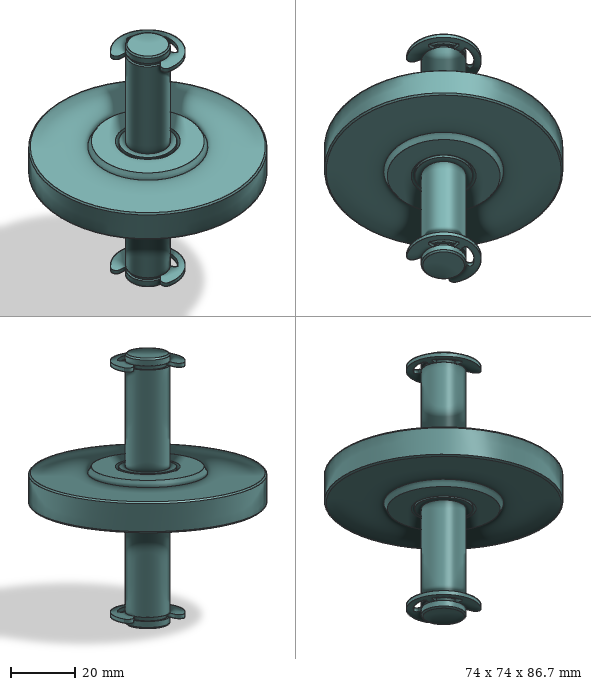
import cadquery as cq
import math

shaft_length = 86.7
shaft_radius = 14.0 / 2
shaft_chamfer = 0.5
groove_radius = 12.2 / 2
groove_end_distance = 2.4
clip_thickness = 1.3
groove_centre_z = shaft_length / 2 - groove_end_distance - clip_thickness / 2

wheel_radius = 74.0 / 2
rim_width = 10.0
rim_chamfer = 0.5
hub_width = 14.0
hub_base_radius = 18.6
hub_face_radius = 17.5
bore_chamfer = 1.0

bushing_radius = 18.0 / 2

clip_radius = 11.6
jaw_angle = math.radians(27)
tip_radius = 1.7
tip_angle = math.radians(31)
tip_inner_angle = math.radians(24)
slot_outer_radius = 9.45
slot_floor_y = 2.5
tongue_half_width = 1.1
slot_top_fillet = 0.5
slot_side_fillet = 1.0


def point_below(radius, angle):
    """Point at a radius from the shaft axis, at an angle below the +X direction."""
    return radius * math.cos(angle), -radius * math.sin(angle)


def mirrored(point):
    return -point[0], point[1]


def plane_below(height, centre_z=0):
    """XY workplane at the bottom of a layer of this height centred on centre_z."""
    return cq.Workplane("XY", origin=(0, 0, centre_z - height / 2))


def make_shaft():
    shaft = plane_below(shaft_length).circle(shaft_radius).extrude(shaft_length)
    shaft = shaft.faces("<Z or >Z").chamfer(shaft_chamfer)
    for side in (-1, 1):
        groove = (
            plane_below(clip_thickness, side * groove_centre_z)
            .circle(shaft_radius)
            .circle(groove_radius)
            .extrude(clip_thickness)
        )
        shaft = shaft.cut(groove)
    return shaft


def make_wheel():
    """Revolve the half section, whose bore has a chamfer at both ends."""
    half_hub = hub_width / 2
    half_rim = rim_width / 2
    upper_profile = [
        (bushing_radius, half_hub - bore_chamfer),
        (bushing_radius + bore_chamfer, half_hub),
        (hub_face_radius, half_hub),
        (hub_base_radius, half_rim),
        (wheel_radius - rim_chamfer, half_rim),
        (wheel_radius, half_rim - rim_chamfer),
    ]
    lower_profile = [(radius, -z) for radius, z in reversed(upper_profile)]
    return (
        cq.Workplane("XZ")
        .polyline(upper_profile + lower_profile)
        .close()
        .revolve(360, (0, 0), (0, 1))
    )


def make_bushing():
    return (
        plane_below(hub_width)
        .circle(bushing_radius)
        .circle(shaft_radius)
        .extrude(hub_width)
    )


def make_slot():
    """Right-hand relief slot, open to the groove and rounded at its outer corners."""
    slot = plane_below(clip_thickness).circle(slot_outer_radius).extrude(clip_thickness)
    quadrant = (
        plane_below(clip_thickness)
        .moveTo(tongue_half_width, slot_floor_y)
        .rect(slot_outer_radius, slot_outer_radius, centered=False)
        .extrude(clip_thickness)
    )
    slot = slot.intersect(quadrant)
    slot = slot.edges("|Z and >Y").fillet(slot_top_fillet)
    slot = slot.edges("|Z and >X").fillet(slot_side_fillet)
    inner_disc = plane_below(clip_thickness).circle(groove_radius).extrude(clip_thickness)
    return slot.cut(inner_disc)


def make_clip(z):
    """Open-ended retaining ring with its mouth facing -Y."""
    tip_centre = point_below(clip_radius - tip_radius, tip_angle)
    jaw = point_below(groove_radius, jaw_angle)
    tip_inner = (
        tip_centre[0] - tip_radius * math.cos(tip_inner_angle),
        tip_centre[1] - tip_radius * math.sin(tip_inner_angle),
    )
    tip_bottom = (tip_centre[0], tip_centre[1] - tip_radius)
    tip_outer = point_below(clip_radius, tip_angle)
    body = (
        plane_below(clip_thickness)
        .moveTo(*jaw)
        .lineTo(*tip_inner)
        .threePointArc(tip_bottom, tip_outer)
        .threePointArc((0, clip_radius), mirrored(tip_outer))
        .threePointArc(mirrored(tip_bottom), mirrored(tip_inner))
        .lineTo(*mirrored(jaw))
        .threePointArc((0, groove_radius), jaw)
        .close()
        .extrude(clip_thickness)
    )
    slot = make_slot()
    body = body.cut(slot).cut(slot.mirror("YZ"))
    return body.translate((0, 0, z))


shaft = make_shaft()
wheel = make_wheel()
bushing = make_bushing()
clips = [make_clip(side * groove_centre_z) for side in (-1, 1)]

bodies = [shaft, wheel, bushing, *clips]
result = cq.Compound.makeCompound([body.solids().val() for body in bodies])